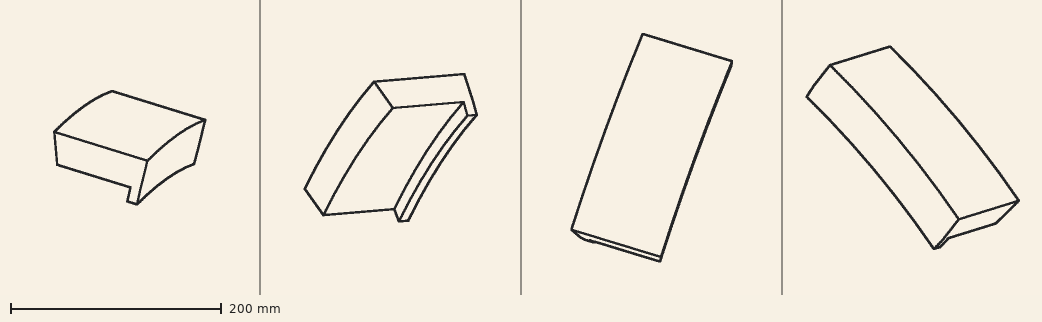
import cadquery as cq
import math

width = 95.0
chord = 200.0
chord_slope = 40.0
bulge = 5.8
panel_depth = 30.2
side_inset = 10.5
rail_width = 10.0
rail_depth = 14.5
rail_end_flare = 5.0


def on_panel(along, depth):
    """(y, z) of a point given along the chord from its middle, and inward from it."""
    slope = math.radians(chord_slope)
    return (
        along * math.cos(slope) - depth * math.sin(slope),
        -along * math.sin(slope) - depth * math.cos(slope),
    )


def arc_points(half_chord, end_depth, mid_depth):
    """Upper end, middle and lower end of an arc centred on the panel."""
    return [
        on_panel(-half_chord, end_depth),
        on_panel(0, mid_depth),
        on_panel(half_chord, end_depth),
    ]


def curved_prism(outer, inner, start_x, length):
    """Solid between two arcs with straight ends, extruded along X."""
    return (
        cq.Workplane("YZ")
        .workplane(offset=start_x)
        .moveTo(*outer[0])
        .threePointArc(outer[1], outer[2])
        .lineTo(*inner[2])
        .threePointArc(inner[1], inner[0])
        .close()
        .extrude(length)
    )


outer_arc = arc_points(chord / 2, 0, -bulge)
inner_arc = arc_points(chord / 2, panel_depth, panel_depth - bulge)

skin_edge = cq.Edge.makeThreePointArc(*[cq.Vector(0, y, z) for y, z in outer_arc])
skin = cq.Face.makeRuledSurface(skin_edge, skin_edge.translate(cq.Vector(width, 0, 0)))
lean = cq.Vector(side_inset, *on_panel(0, panel_depth))
leaning_block = cq.Workplane(obj=cq.Solid.extrudeLinear(skin, lean))

panel = leaning_block.intersect(curved_prism(outer_arc, inner_arc, 0, width))

flare = math.radians(rail_end_flare)
rail_half_chord = chord / 2 - rail_depth * math.sin(flare)
rail_end_depth = panel_depth + rail_depth * math.cos(flare)
rail_mid_depth = panel_depth - bulge + rail_depth
rail_arc = arc_points(rail_half_chord, rail_end_depth, rail_mid_depth)
rail = curved_prism(inner_arc, rail_arc, width - rail_width, rail_width)

result = panel.union(rail)